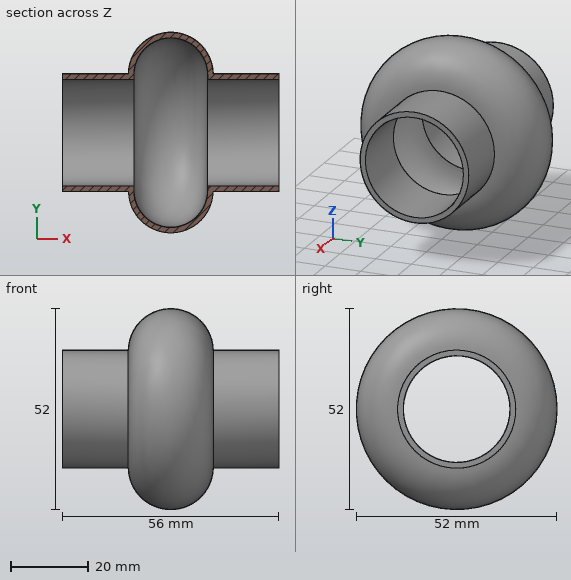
import cadquery as cq

tube_length = 56.0
tube_diameter = 30.5
bore_diameter = 27.5
outer_diameter = 51.95
bulge_width = 22.0

wall = (tube_diameter - bore_diameter) / 2
bulge_radius = bulge_width / 2
ring_radius = outer_diameter / 2 - bulge_radius


def tube(diameter):
    """Solid cylinder along X, centered on the origin."""
    return cq.Workplane("YZ").circle(diameter / 2).extrude(tube_length / 2, both=True)


def bulge(section_radius):
    """Half-round ring about X, with flat sides running in to the axis."""
    return (
        cq.Workplane("XY")
        .moveTo(-section_radius, 0)
        .lineTo(-section_radius, ring_radius)
        .threePointArc((0, ring_radius + section_radius), (section_radius, ring_radius))
        .lineTo(section_radius, 0)
        .close()
        .revolve(360, (0, 0, 0), (1, 0, 0))
    )


outside = tube(tube_diameter).union(bulge(bulge_radius))
cavity = tube(bore_diameter).union(bulge(bulge_radius - wall))
result = outside.cut(cavity)